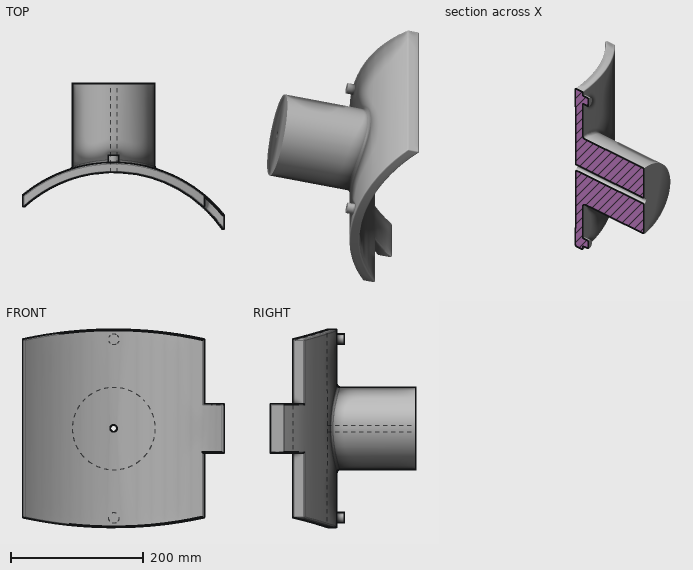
import cadquery as cq
inner_radius = 200.0
plate_thickness = 15.0
plate_width = 275.0
plate_height = 300.0
edge_drop = 15.0
edge_fillet = 2.0

tab_reach = 30.0
tab_height = 75.0

boss_diameter = 125.0
boss_length = 119.36
boss_fillet = 4.0

pin_diameter = 16.0
pin_length = 11.0
pin_offset = 135.0

bore_diameter = 10.0

root_cover = 1.0

outer_radius = inner_radius + plate_thickness
half_width = plate_width / 2
half_height = plate_height / 2
corner_height = half_height - edge_drop
tab_end = half_width + tab_reach
half_tab = tab_height / 2
root_start = inner_radius + root_cover
boss_end = outer_radius + boss_length
pin_end = outer_radius + pin_length


def full_shell():
    """Complete ring with the radii of the plate, centred on the Z axis."""
    ring = cq.Workplane("XY").circle(outer_radius).circle(inner_radius)
    return ring.extrude(plate_height, both=True)


def plate_prism():
    """Outline of plate and tab, extruded from the XZ plane along +Y."""
    return (
        cq.Workplane("XZ")
        .moveTo(-half_width, -corner_height)
        .threePointArc((0, -half_height), (half_width, -corner_height))
        .lineTo(half_width, -half_tab)
        .lineTo(tab_end, -half_tab)
        .lineTo(tab_end, half_tab)
        .lineTo(half_width, half_tab)
        .lineTo(half_width, corner_height)
        .threePointArc((0, half_height), (-half_width, corner_height))
        .close()
        .extrude(-outer_radius)
    )


def curved_plate():
    """Plate with rounded rims and rounded corners, the two tab roots staying sharp."""
    plate = full_shell().intersect(plate_prism())
    rims = plate.edges("not |Y")
    outer_corners = plate.edges("|Y").edges("<X or >X or <Z or >Z")
    return rims.add(outer_corners).fillet(edge_fillet)


def rod(diameter, start, end, height=0.0):
    """Cylinder along Y between two distances from the shell axis."""
    base = cq.Workplane("XZ", origin=(0, end, height)).circle(diameter / 2)
    return base.extrude(end - start)


def add_boss(body):
    """Join the boss to the plate and fillet the seam between them."""
    joined = body.union(rod(boss_diameter, root_start, boss_end))
    half_boss = boss_diameter / 2
    seam_region = cq.selectors.BoxSelector(
        (-half_boss, inner_radius, -half_boss),
        (half_boss, outer_radius, half_boss),
    )
    return joined.edges(seam_region).fillet(boss_fillet)


result = add_boss(curved_plate())
for pin_height in (-pin_offset, pin_offset):
    result = result.union(rod(pin_diameter, root_start, pin_end, pin_height))
result = result.cut(rod(bore_diameter, 0, boss_end))